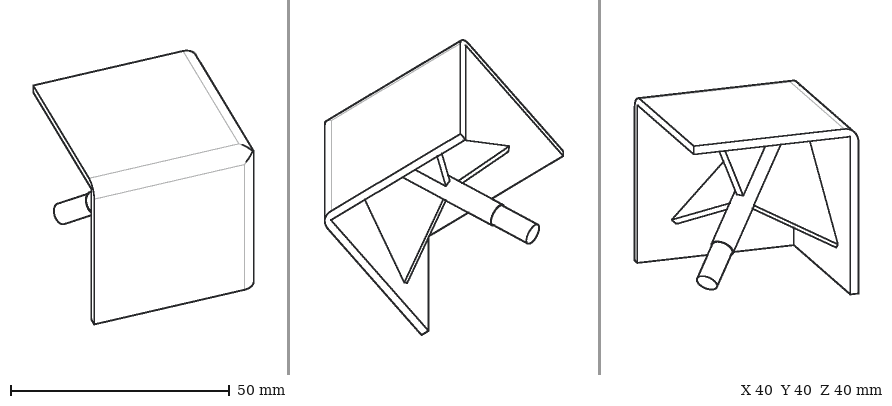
import cadquery as cq
import math

size = 40.0
wall = 2.0
edge_radius = 3.5

rod_radius = 2.7
tip_radius = 2.5
step_length = 47.2
rod_length = 57.2

rib_thickness = 1.6
rib_length = 33.6

inner = size - wall
inner_corner = cq.Vector(inner, inner, inner)
rod_direction = cq.Vector(-1, -1, -1).normalized()
wall_normals = [cq.Vector(1, 0, 0), cq.Vector(0, 1, 0), cq.Vector(0, 0, 1)]
cavity = cq.Workplane("XY").box(inner, inner, inner, centered=False)


def rounded_prism(edge_selector):
    """Full cube with the one outer edge picked by the selector rounded."""
    cube = cq.Workplane("XY").box(size, size, size, centered=False)
    return cube.edges(edge_selector).fillet(edge_radius)


def make_walls():
    """Cube corner whose three rounded edges meet in mitres, hollowed from the open side."""
    block = rounded_prism(">X and >Y")
    block = block.intersect(rounded_prism(">X and >Z"))
    block = block.intersect(rounded_prism(">Y and >Z"))
    return block.cut(cavity)


def make_cylinder(radius, length):
    """Cylinder around the diagonal; its inner end is buried and trimmed at the corner."""
    plane = cq.Plane(origin=inner_corner, normal=rod_direction)
    start = -wall
    return cq.Workplane(plane).workplane(offset=start).circle(radius).extrude(length - start)


def make_rib(wall_normal):
    """Right triangle between the rod axis and the diagonal of one wall."""
    side_normal = rod_direction.cross(wall_normal)
    plane = cq.Plane(origin=inner_corner, xDir=rod_direction, normal=side_normal)
    rib_height = rib_length / math.sqrt(2)
    outline = [(0, 0), (rib_length, 0), (rib_length, rib_height)]
    return cq.Workplane(plane).polyline(outline).close().extrude(rib_thickness / 2, both=True)


rod = make_cylinder(rod_radius, step_length).union(make_cylinder(tip_radius, rod_length))
for wall_normal in wall_normals:
    rod = rod.union(make_rib(wall_normal))

result = make_walls().union(rod.intersect(cavity))